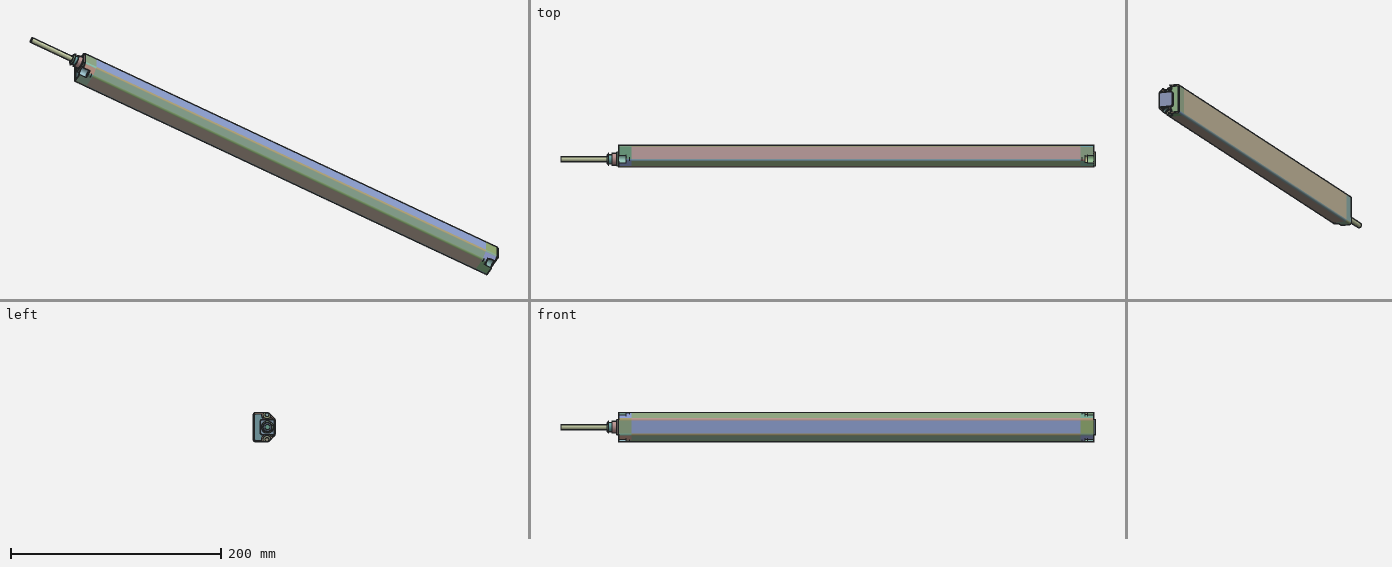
import cadquery as cq

depth = 21.0
height = 28.0
bevel = 6.5
bevel_rounding = 3.0
back_rounding = 2.0
front_y = -depth / 2
back_y = depth / 2
top_z = height / 2

total_length = 509.5
plate_thickness = 1.8
cap_length = 12.3
profile_length = 428.0
left_cap_x = plate_thickness
left_seam_x = left_cap_x + cap_length
right_seam_x = left_seam_x + profile_length
right_cap_end_x = right_seam_x + cap_length
right_plate_end_x = right_cap_end_x + plate_thickness

cap_rim_width = 1.4
cap_recess_depth = 0.6

plate_front_y = front_y + 1.0
plate_back_y = 4.0
plate_height = 14.6
plate_rounding = 2.0
plate_chamfer = 0.4

channel_radius = 3.8
channel_y = -2.6
channel_z = 11.8
left_channel_length = 7.2
right_channel_length = 6.0
right_inner_length = 8.2
right_inner_radius = 3.5
screw_hole_radius = 1.8
screw_hole_depth = 3.0

cable_y = -3.0
cable_radius = 2.5
collar_radius = 5.8
collar_length = 4.5
neck_radius = 4.5
neck_length = 3.2
nose_radius = 4.0
nose_length = 1.5


def housing_bar(start_x, length):
    """A length of the bevelled and rounded housing section."""
    corners = [
        (back_y, -top_z),
        (back_y, top_z),
        (front_y + bevel, top_z),
        (front_y, top_z - bevel),
        (front_y, bevel - top_z),
        (front_y + bevel, -top_z),
    ]
    bar = cq.Workplane("YZ").workplane(offset=start_x).polyline(corners).close().extrude(length)
    bar = bar.edges("|X and (not >Y)").fillet(bevel_rounding)
    return bar.edges("|X and >Y").fillet(back_rounding)


def end_recess(start_x):
    """Cutter for the shallow recess in a cap's outer face: its outline without the rim and channels."""
    outline = (
        housing_bar(start_x, cap_recess_depth)
        .cut(channels(start_x, cap_recess_depth, channel_radius))
    )
    return (
        outline.faces("<X").wires().toPending()
        .offset2D(-cap_rim_width)
        .extrude(cap_recess_depth, combine=False)
    )


def end_plate(start_x, outer_face):
    """A raised plate, set back a little from the housing's front face, filling the recess below it."""
    width = plate_back_y - plate_front_y
    plate = (
        cq.Workplane("YZ")
        .workplane(offset=start_x)
        .center(plate_front_y + width / 2, 0)
        .rect(width, plate_height)
        .extrude(plate_thickness + cap_recess_depth)
    )
    return plate.edges("|X and >Y").fillet(plate_rounding).faces(outer_face).chamfer(plate_chamfer)


def channels(start_x, length, radius):
    """Round cutters on the axes of the top and bottom screw channels."""
    centres = [(channel_y, channel_z), (channel_y, -channel_z)]
    return cq.Workplane("YZ").workplane(offset=start_x).pushPoints(centres).circle(radius).extrude(length)


def make_left_cap():
    hole_x = left_cap_x + left_channel_length
    return (
        housing_bar(left_cap_x, cap_length)
        .cut(channels(left_cap_x, left_channel_length, channel_radius))
        .cut(channels(hole_x, screw_hole_depth, screw_hole_radius))
        .cut(end_recess(left_cap_x))
        .union(end_plate(0, "<X"))
    )


def make_right_cap():
    channel_x = right_cap_end_x - right_channel_length
    inner_x = right_cap_end_x - right_inner_length
    recess_x = right_cap_end_x - cap_recess_depth
    return (
        housing_bar(right_seam_x, cap_length)
        .cut(channels(channel_x, right_channel_length, channel_radius))
        .cut(channels(inner_x, right_inner_length, right_inner_radius))
        .cut(channels(inner_x - screw_hole_depth, screw_hole_depth, screw_hole_radius))
        .cut(end_recess(recess_x))
        .union(end_plate(recess_x, ">X"))
    )


def make_housing():
    """The long profile with an end cap at each end; the seams stay as lines on its surface."""
    return (
        housing_bar(left_seam_x, profile_length)
        .union(make_left_cap(), clean=False)
        .union(make_right_cap(), clean=False)
    )


def make_cable():
    """Cable with its strain relief: tapered nose, narrow neck and collar against the left end plate."""
    tip_x = right_plate_end_x - total_length
    neck_x = -collar_length - neck_length
    nose_x = neck_x - nose_length
    half_section = [
        (tip_x, 0),
        (tip_x, cable_radius),
        (nose_x, cable_radius),
        (nose_x, nose_radius),
        (neck_x, collar_radius),
        (neck_x, neck_radius),
        (-collar_length, neck_radius),
        (-collar_length, collar_radius),
        (0, collar_radius),
        (0, 0),
    ]
    cable_body = cq.Workplane("XZ").polyline(half_section).close().revolve(360, (0, 0, 0), (1, 0, 0))
    return cable_body.translate((0, cable_y, 0))


housing = make_housing()
cable = make_cable()
result = cq.Compound.makeCompound([housing.solids().val(), cable.solids().val()])